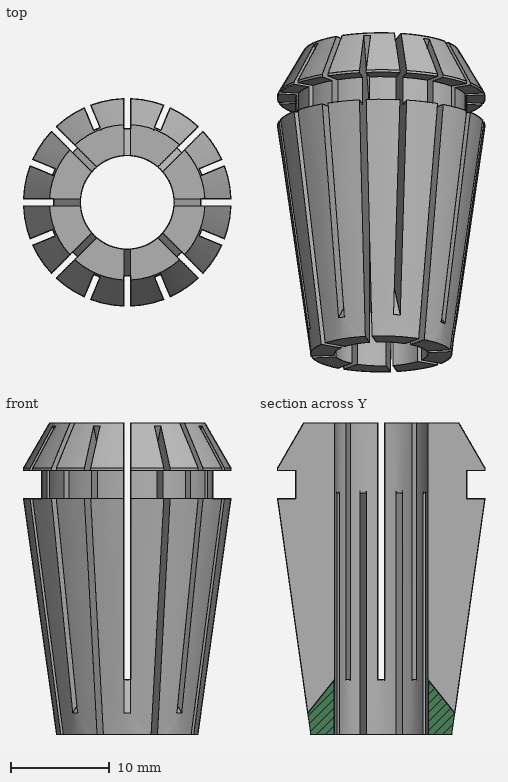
import cadquery as cq
import math

LENGTH = 31.5
OUTER_RADIUS = 10.5
BORE_RADIUS = 4.72

TAPER_TOP = 23.85
TAPER_HALF_ANGLE = 8.0
BASE_RADIUS = OUTER_RADIUS - TAPER_TOP * math.tan(math.radians(TAPER_HALF_ANGLE))

NECK_RADIUS = 8.65
HEAD_BOTTOM = 26.68
HEAD_RIM_HEIGHT = 0.25
HEAD_HALF_ANGLE = 30.0
HEAD_CONE_BOTTOM = HEAD_BOTTOM + HEAD_RIM_HEIGHT
TOP_RADIUS = OUTER_RADIUS - (LENGTH - HEAD_CONE_BOTTOM) * math.tan(math.radians(HEAD_HALF_ANGLE))

SLOTS_PER_SET = 8
SLOT_PITCH = 360.0 / SLOTS_PER_SET
SLOT_WIDTH = 0.7
UPPER_SLOT_OUTER_END = 2.17
UPPER_SLOT_INNER_END = 5.58
LOWER_SLOT_OUTER_END = 31.2
LOWER_SLOT_INNER_END = 24.4

UPPER_END_RADIUS = BASE_RADIUS + UPPER_SLOT_OUTER_END * math.tan(math.radians(TAPER_HALF_ANGLE))
LOWER_END_RADIUS = TOP_RADIUS + (LENGTH - LOWER_SLOT_OUTER_END) * math.tan(math.radians(HEAD_HALF_ANGLE))
UPPER_END_SLOPE = (UPPER_SLOT_OUTER_END - UPPER_SLOT_INNER_END) / (UPPER_END_RADIUS - BORE_RADIUS)
LOWER_END_SLOPE = (LOWER_SLOT_OUTER_END - LOWER_SLOT_INNER_END) / (LOWER_END_RADIUS - BORE_RADIUS)

CLEARANCE = 0.63
CUT_INNER_RADIUS = BORE_RADIUS - CLEARANCE
CUT_OUTER_RADIUS = OUTER_RADIUS + CLEARANCE


def collet_body():
    """Tapered sleeve with a grooved, coned head and a through bore."""
    profile = [
        (BORE_RADIUS, 0),
        (BASE_RADIUS, 0),
        (OUTER_RADIUS, TAPER_TOP),
        (NECK_RADIUS, TAPER_TOP),
        (NECK_RADIUS, HEAD_BOTTOM),
        (OUTER_RADIUS, HEAD_BOTTOM),
        (OUTER_RADIUS, HEAD_CONE_BOTTOM),
        (TOP_RADIUS, LENGTH),
        (BORE_RADIUS, LENGTH),
    ]
    return cq.Workplane("XZ").polyline(profile).close().revolve(360, (0, 0), (0, 1))


def slot_cutter(end_radius, end_height, slope, open_height):
    """Radial slot along +X whose sloped closed end passes through the given point."""
    profile = [
        (CUT_INNER_RADIUS, end_height + slope * (CUT_INNER_RADIUS - end_radius)),
        (CUT_OUTER_RADIUS, end_height + slope * (CUT_OUTER_RADIUS - end_radius)),
        (CUT_OUTER_RADIUS, open_height),
        (CUT_INNER_RADIUS, open_height),
    ]
    return cq.Workplane("XZ").polyline(profile).close().extrude(SLOT_WIDTH / 2, both=True)


def cut_slot_set(body, cutter, start_angle):
    """Cut one ring of equally spaced slots."""
    for index in range(SLOTS_PER_SET):
        angle = start_angle + index * SLOT_PITCH
        body = body.cut(cutter.rotate((0, 0, 0), (0, 0, 1), angle))
    return body


upper_slot = slot_cutter(UPPER_END_RADIUS, UPPER_SLOT_OUTER_END, UPPER_END_SLOPE, LENGTH + CLEARANCE)
lower_slot = slot_cutter(LOWER_END_RADIUS, LOWER_SLOT_OUTER_END, LOWER_END_SLOPE, -CLEARANCE)

collet = collet_body()
collet = cut_slot_set(collet, upper_slot, 0)
collet = cut_slot_set(collet, lower_slot, SLOT_PITCH / 2)

result = collet